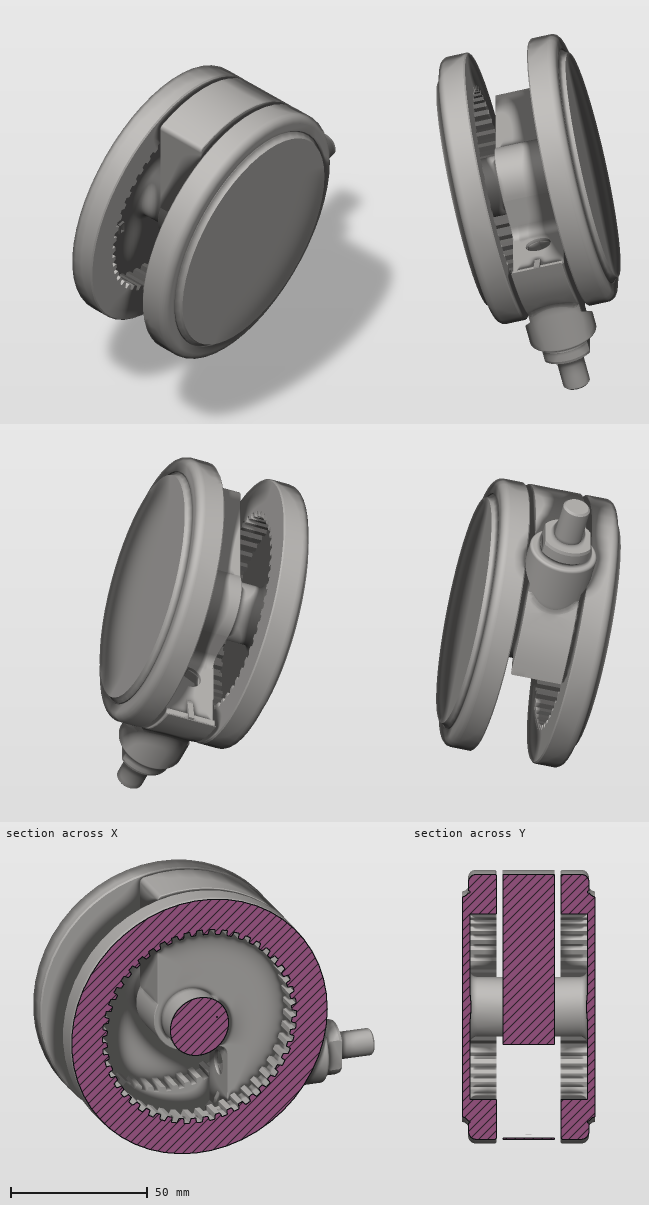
import cadquery as cq
import math


wheel_radius = 50.0
wheel_inner_x = 11.7
wheel_outer_x = 22.1
wheel_edge_chamfer = 0.5
tread_round = 2.9
cover_x = 24.3
cover_radius = 42.0
cover_base_radius = 43.5
cover_flare_radius = 3.2
groove_width = 0.5
groove_depth = 0.6
cup_floor_x = 21.3

tooth_count = 48
tooth_tip_radius = 35.8
tooth_flat_share = 0.4
tooth_root_radius = 37.7

frame_y = -20.6
frame_z = -4.8
frame_width = 2.6
frame_length = 4.7
frame_wall = 0.5
frame_height = 1.0

hub_radius = 10.9
hub_round = 2.5

yoke_half_width = 9.5
yoke_radius = wheel_radius
yoke_edge_chamfer = 0.2
front_wall_y = -12.2
front_top_round = 1.9
barrel_radius = 13.6
stem_wall_y = 14.9
web_round = 3.7
lip_slope_top_z = -42.4
lip_face_top_z = -44.3
lip_face_bottom_z = -46.7
lip_edge_z = -47.9
lip_face_y = 13.0
lip_edge_y = 12.0
lip_bottom_z = -48.6

rib_width = 2.1
rib_top_z = -35.6
rib_break_z = -38.1
rib_break_y = 13.6

stem_z = -23.9
boss_radius = 12.5
boss_end_y = 53.6
boss_edge_round = 1.0
boss_blend_radius = 2.5
wheel_clearance_radius = 52.2
neck_radius = 8.9
collar_start_y = 54.3
collar_end_y = 59.9
collar_radius = 10.2
collar_across_flats = 16.9
collar_taper_length = 1.1
collar_taper_depth = 0.4
collar_inner_chamfer = 0.7
stem_diameter = 10.0
stem_radius = stem_diameter / 2
stem_end_y = 74.0
stem_chamfer = 0.7

socket_diameter = 9.4
counterbore_depth = 1.2
socket_depth = 5.0


def circle_y(radius, z):
    """Distance from the axle, along Y, of a circle at height z."""
    return math.sqrt(radius**2 - z**2)


def x_cylinder(radius, half_length):
    """Cylinder on the axle, centred on the YZ plane."""
    return cq.Workplane("YZ").circle(radius).extrude(half_length, both=True)


def stem_cylinder(radius, start_y, end_y):
    """Cylinder along +Y on the stem axis."""
    plane = cq.Workplane("XZ", origin=(0, start_y, stem_z))
    return plane.circle(radius).extrude(start_y - end_y)


def stem_hexagon(corner_diameter, start_y, end_y):
    """Hexagonal bar along +Y on the stem axis, with corners up and down."""
    plane = cq.Workplane("XZ", origin=(0, start_y, stem_z)).transformed(rotate=(0, 0, 90))
    return plane.polygon(6, corner_diameter).extrude(start_y - end_y)


def tooth_cavity():
    """Toothed pocket from the inner side of a wheel down to the cup floor."""
    pitch_angle = 2 * math.pi / tooth_count
    half_flat = pitch_angle * tooth_flat_share / 2
    points = []
    for i in range(2 * tooth_count):
        radius = tooth_tip_radius if i % 2 else tooth_root_radius
        middle = i * pitch_angle / 2
        for angle in (middle - half_flat, middle + half_flat):
            points.append((radius * math.cos(angle), radius * math.sin(angle)))
    plane = cq.Workplane("YZ", origin=(wheel_inner_x, 0, 0))
    return plane.polyline(points).close().extrude(cup_floor_x - wheel_inner_x)


def make_wheel():
    """Wheel on the +X side: tread, raised cover and toothed cup."""
    groove_outer = cover_base_radius + groove_width
    groove_x = wheel_outer_x - groove_depth
    tread_corner = tread_round * math.sin(math.pi / 4)
    profile = (
        cq.Workplane("XY")
        .moveTo(wheel_inner_x, 0)
        .lineTo(wheel_inner_x, wheel_radius - wheel_edge_chamfer)
        .lineTo(wheel_inner_x + wheel_edge_chamfer, wheel_radius)
        .lineTo(wheel_outer_x - tread_round, wheel_radius)
        .threePointArc(
            (wheel_outer_x - tread_round + tread_corner, wheel_radius - tread_round + tread_corner),
            (wheel_outer_x, wheel_radius - tread_round),
        )
        .lineTo(wheel_outer_x, groove_outer)
        .lineTo(groove_x, groove_outer)
        .lineTo(groove_x, cover_base_radius)
        .lineTo(wheel_outer_x, cover_base_radius)
        .radiusArc((cover_x, cover_radius), -cover_flare_radius)
        .lineTo(cover_x, 0)
        .close()
    )
    wheel = profile.revolve(360, (0, 0, 0), (1, 0, 0)).cut(tooth_cavity())
    frame = (
        cq.Workplane("YZ", origin=(cup_floor_x, frame_y, frame_z))
        .rect(frame_width, frame_length)
        .rect(frame_width - 2 * frame_wall, frame_length - 2 * frame_wall)
        .extrude(-frame_height)
    )
    return wheel.union(frame)


def make_hub():
    """Half of the axle hub, flaring into the +X cup floor."""
    bend = hub_round * (1 - math.sin(math.pi / 4))
    return (
        cq.Workplane("XY")
        .lineTo(0, hub_radius)
        .lineTo(cup_floor_x - hub_round, hub_radius)
        .threePointArc(
            (cup_floor_x - bend, hub_radius + bend),
            (cup_floor_x, hub_radius + hub_round),
        )
        .lineTo(cup_floor_x, 0)
        .close()
        .revolve(360, (0, 0, 0), (1, 0, 0))
    )


def make_yoke():
    """Rounded yoke body with the axle barrel, the lower wall and its lip."""
    top_z = circle_y(yoke_radius, front_wall_y)
    tip_y = circle_y(yoke_radius, lip_bottom_z)
    barrel_z = circle_y(barrel_radius, front_wall_y)
    barrel_corner = barrel_radius * math.sin(math.pi / 4)
    web_bend = web_round * (1 - math.sin(math.pi / 4))
    outline = (
        cq.Workplane("YZ", origin=(-yoke_half_width, 0, 0))
        .moveTo(front_wall_y, top_z)
        .threePointArc((yoke_radius, 0), (tip_y, lip_bottom_z))
        .lineTo(lip_edge_y, lip_edge_z)
        .lineTo(lip_face_y, lip_face_bottom_z)
        .lineTo(lip_face_y, lip_face_top_z)
        .lineTo(stem_wall_y, lip_slope_top_z)
        .lineTo(stem_wall_y, -barrel_radius - web_round)
        .threePointArc(
            (stem_wall_y - web_bend, -barrel_radius - web_bend),
            (stem_wall_y - web_round, -barrel_radius),
        )
        .lineTo(0, -barrel_radius)
        .threePointArc((-barrel_corner, -barrel_corner), (front_wall_y, barrel_z))
        .close()
    )
    yoke = outline.extrude(2 * yoke_half_width)
    top_edge = cq.selectors.NearestToPointSelector((0, front_wall_y, top_z))
    yoke = yoke.edges(top_edge).fillet(front_top_round)
    return yoke.faces("<X or >X").edges().chamfer(yoke_edge_chamfer)


def make_rib():
    """Thin rib running down the lower wall to the lip."""
    return (
        cq.Workplane("YZ", origin=(-rib_width / 2, 0, 0))
        .moveTo(stem_wall_y, rib_top_z)
        .lineTo(rib_break_y, rib_break_z)
        .lineTo(lip_edge_y, lip_face_bottom_z)
        .lineTo(stem_wall_y, lip_face_bottom_z)
        .close()
        .extrude(rib_width)
    )


def make_fork():
    """Yoke with the round stem boss, cut back beside the yoke to clear both wheels."""
    boss = stem_cylinder(boss_radius, stem_wall_y, boss_end_y)
    boss = boss.faces(">Y").edges().fillet(boss_edge_round)
    side_space = x_cylinder(wheel_clearance_radius, 2 * boss_radius)
    side_space = side_space.cut(x_cylinder(wheel_clearance_radius, yoke_half_width))
    fork = make_yoke().union(boss.cut(side_space))
    for seam_z in (stem_z + boss_radius, stem_z - boss_radius):
        seam = cq.selectors.NearestToPointSelector((0, circle_y(yoke_radius, seam_z), seam_z))
        fork = fork.edges(seam).fillet(boss_blend_radius)
    return fork


def make_stem():
    """Neck, round collar with two spanner flats, and stem."""
    neck = stem_cylinder(neck_radius, boss_end_y, collar_start_y)
    taper_start_y = collar_end_y - collar_taper_length
    collar = stem_cylinder(collar_radius, collar_start_y, taper_start_y)
    collar = collar.faces("<Y").edges().chamfer(collar_inner_chamfer)
    taper_angle = math.degrees(math.atan2(collar_taper_depth, collar_taper_length))
    taper_plane = cq.Workplane("XZ", origin=(0, taper_start_y, stem_z))
    taper = taper_plane.circle(collar_radius).extrude(-collar_taper_length, taper=taper_angle)
    collar = collar.union(taper)
    flats = cq.Workplane("XY").box(collar_across_flats, 2 * collar_end_y, 2 * wheel_radius)
    stem = stem_cylinder(stem_radius, collar_end_y, stem_end_y)
    stem = stem.faces(">Y").edges().chamfer(stem_chamfer)
    return neck.union(collar.intersect(flats)).union(stem)


def make_socket():
    """Hex socket with a shallow counterbore, cut into the lower wall."""
    counterbore = stem_cylinder(socket_diameter / 2, stem_wall_y, stem_wall_y + counterbore_depth)
    return counterbore.union(stem_hexagon(socket_diameter, stem_wall_y, stem_wall_y + socket_depth))


half_axle = make_wheel().union(make_hub())
fork = make_fork().union(make_rib()).union(make_stem()).cut(make_socket())
result = fork.union(half_axle).union(half_axle.mirror("YZ"))